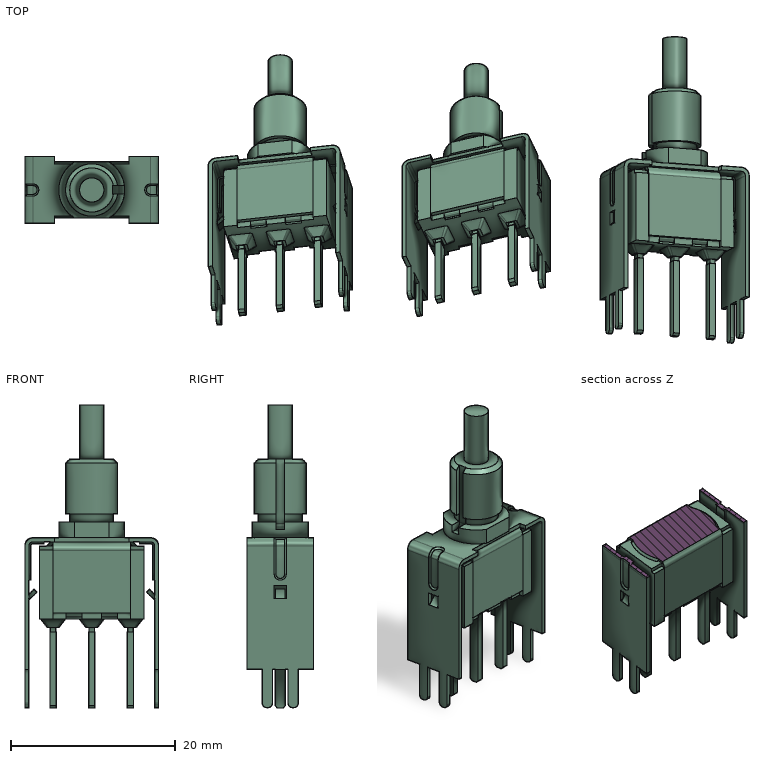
import cadquery as cq
import math


overall_length = 16.26
bracket_width = 8.13
overall_height = 36.83

plunger_diameter = 2.95
plunger_top = 16.13
pin_bottom = plunger_top - overall_height

sheet = 0.51
bend_radius = 1.0
plate_bottom = -16.0
notch_length = 9.0
notch_floor_y = 3.15
leg_width = 1.27
leg_spacing = 3.14
leg_bottom = -20.65
leg_end_radius = 0.57

bead_depth = 0.24
bead_width = 1.48
bead_bottom = -5.15
groove_inner_x = 6.43
rib_inner_x = 5.77
groove_wall_run = 0.2

window_top = -5.8
window_bottom = -7.38
window_width = 1.48
tongue_width = 1.2
tongue_length = 1.38

nut_height = 1.9
nut_radius = 4.0
nut_across_flats = 6.82
neck_radius = 2.69
bushing_radius = 3.175
bushing_bottom = 2.9
bushing_top = 9.54
bushing_chamfer = 0.5
keyway_floor_x = 2.52
keyway_width = 1.03
keyway_floor_z = 0.98
keyway_runout_radius = 0.76

housing_length = 12.7
housing_half_width = 3.43
housing_bottom = -9.9
end_top = -1.02
end_ledge = -1.5
core_half_width = 2.95
panel_length = 9.4
end_half_width = 3.45
panel_top = -sheet
panel_bottom = -9.15
panel_bend_radius = 1.06
cone_bottom_radius = 5.5
cone_top_radius = 5.0
pocket_inner_x = 1.18
pocket_outer_x = 3.12
pocket_round = 0.45
pocket_height = 0.7

pin_pitch = 4.69
pin_thickness = 0.78
pin_width = 1.27
pin_tip_chamfer = 0.3
collar_thickness = 0.7
collar_width = 1.15
collar_bottom = -11.44
mound_bottom = -10.92
mound_base = 3.0
mound_tip = 1.4
mound_base_radius = 0.3
mound_tip_radius = 0.2


def block(x_range, y_range, z_range):
    """Axis-aligned block from its limits along each axis."""
    size = [high - low for low, high in (x_range, y_range, z_range)]
    corner = (x_range[0], y_range[0], z_range[0])
    return cq.Workplane("XY").box(*size, centered=False).translate(corner)


def cylinder(radius, bottom, top):
    return cq.Workplane("XY", origin=(0, 0, bottom)).circle(radius).extrude(top - bottom)


def arch(inset, width):
    """Solid with the bracket's outer shape, moved inward by inset."""
    height = -plate_bottom - inset
    return (
        cq.Workplane("XY", origin=(0, 0, plate_bottom))
        .box(overall_length - 2 * inset, width, height, centered=(True, True, False))
        .edges("|Y and >Z")
        .fillet(bend_radius - inset)
    )


def bent_sheet(outer_inset, inner_inset, width):
    inner = arch(inner_inset, width)
    return arch(outer_inset, width).cut(inner)


def bead_strip(outer_inset, inner_inset, inner_x):
    """Round-ended strip that follows the bend on the +X side."""
    end_radius = bead_width / 2
    strip = bent_sheet(outer_inset, inner_inset, bead_width)
    plan = (
        cq.Workplane("XY", origin=(0, 0, plate_bottom))
        .moveTo(overall_length, -end_radius)
        .lineTo(inner_x + end_radius, -end_radius)
        .threePointArc((inner_x, 0), (inner_x + end_radius, end_radius))
        .lineTo(overall_length, end_radius)
        .close()
        .extrude(-plate_bottom)
    )
    side = (
        cq.Workplane("YZ")
        .moveTo(-end_radius, 0)
        .lineTo(-end_radius, bead_bottom + end_radius)
        .threePointArc((0, bead_bottom), (end_radius, bead_bottom + end_radius))
        .lineTo(end_radius, 0)
        .close()
        .extrude(overall_length)
    )
    return strip.intersect(plan).intersect(side)


def make_groove():
    """Cutter for the outer side of a bead, with sloping walls."""
    groove = bead_strip(0, bead_depth, groove_inner_x)
    floor_side = (overall_length / 2 - bead_depth, bead_width / 2, bead_bottom / 2)
    return groove.edges(cq.selectors.NearestToPointSelector(floor_side)).chamfer(groove_wall_run)


def make_tongue():
    """Sheet tongue bent inward at 45 degrees from the lower edge of the window."""
    outer_x = overall_length / 2
    reach = tongue_length * math.sqrt(0.5)
    skew = sheet * math.sqrt(0.5)
    inner_x = outer_x - sheet
    tip_x = inner_x - reach
    tip_z = window_bottom + sheet + reach - 2 * skew
    return (
        cq.Workplane("XZ", origin=(0, tongue_width / 2, 0))
        .moveTo(outer_x, window_bottom)
        .lineTo(tip_x + skew, tip_z + skew)
        .lineTo(tip_x, tip_z)
        .lineTo(inner_x, window_bottom - skew / 2)
        .lineTo(inner_x, window_bottom)
        .close()
        .extrude(tongue_width)
    )


def make_leg(y):
    outer_x = overall_length / 2
    leg = block(
        (outer_x - sheet, outer_x),
        (y - leg_width / 2, y + leg_width / 2),
        (leg_bottom, plate_bottom),
    )
    return leg.edges("|X and <Z").fillet(leg_end_radius)


def both_ends(shape):
    """The +X shape together with its mirror image at -X."""
    return shape, shape.mirror("YZ")


def make_bracket():
    bracket = bent_sheet(0, sheet, bracket_width)

    half_notch = notch_length / 2
    half_width = bracket_width / 2
    for y_range in ((-half_width, -notch_floor_y), (notch_floor_y, half_width)):
        bracket = bracket.cut(block((-half_notch, half_notch), y_range, (-sheet, 0)))
    bracket = bracket.cut(cylinder(neck_radius, -sheet, 0))

    outer_x = overall_length / 2
    window = block(
        (outer_x - sheet, outer_x),
        (-window_width / 2, window_width / 2),
        (window_bottom, window_top),
    )
    rib = bead_strip(sheet, sheet + bead_depth, rib_inner_x)
    for addition in (rib, make_leg(-leg_spacing / 2), make_leg(leg_spacing / 2)):
        for shape in both_ends(addition):
            bracket = bracket.union(shape)
    for cutter in (window, make_groove()):
        for shape in both_ends(cutter):
            bracket = bracket.cut(shape)
    for shape in both_ends(make_tongue()):
        bracket = bracket.union(shape)
    return bracket


def make_bushing():
    nut_flats = block(
        (-nut_radius, nut_radius),
        (-nut_across_flats / 2, nut_across_flats / 2),
        (0, nut_height),
    )
    shank = cylinder(neck_radius, -sheet, 0)
    nut = cylinder(nut_radius, 0, nut_height).intersect(nut_flats)
    neck = cylinder(neck_radius, nut_height, bushing_bottom)
    barrel = cylinder(bushing_radius, bushing_bottom, bushing_top)
    barrel = barrel.faces(">Z").chamfer(bushing_chamfer)
    keyway = block(
        (keyway_floor_x, nut_radius),
        (-keyway_width / 2, keyway_width / 2),
        (keyway_floor_z, bushing_top),
    )
    keyway = keyway.edges("|Y and <X and <Z").fillet(keyway_runout_radius)
    return shank.union(nut).union(neck).union(barrel).cut(keyway)


def make_pocket(x_range):
    """Cutter for a notch in the lower -Y edge of the core, with a rounded lip above it."""
    inner_y = -core_half_width + pocket_round
    pocket_top = housing_bottom + pocket_height
    notch = block(x_range, (-core_half_width, inner_y), (housing_bottom, pocket_top))
    lip = (
        cq.Workplane("YZ", origin=(x_range[0], inner_y, pocket_top))
        .circle(pocket_round)
        .extrude(x_range[1] - x_range[0])
    )
    return notch.cut(lip)


def make_housing():
    half_length = housing_length / 2
    half_panel = panel_length / 2
    core = block(
        (-half_length, half_length),
        (-core_half_width, core_half_width),
        (housing_bottom, end_top),
    )
    for x_range in ((-pocket_outer_x, -pocket_inner_x), (pocket_inner_x, pocket_outer_x)):
        pocket = make_pocket(x_range)
        core = core.cut(pocket).cut(pocket.mirror("XZ"))

    panel = block(
        (-half_panel, half_panel),
        (-housing_half_width, housing_half_width),
        (panel_bottom, panel_top),
    )
    panel = panel.edges("|X and >Z").fillet(panel_bend_radius)
    housing = core.union(panel)

    for x_range in ((-half_length, -half_panel), (half_panel, half_length)):
        end = block(x_range, (-end_half_width, end_half_width), (housing_bottom, end_ledge))
        housing = housing.union(end)

    cone = cq.Workplane("XY").add(
        cq.Solid.makeCone(
            cone_bottom_radius, cone_top_radius, panel_top - end_top,
            pnt=cq.Vector(0, 0, end_top), dir=cq.Vector(0, 0, 1),
        )
    )
    flat_half_width = housing_half_width - panel_bend_radius
    cone_limits = block(
        (-half_length, half_length), (-flat_half_width, flat_half_width), (end_top, panel_top)
    )
    return housing.union(cone.intersect(cone_limits))


def make_terminal(x):
    """Terminal pin with a narrow collar and the sealing mound around it."""
    pin = block(
        (x - pin_thickness / 2, x + pin_thickness / 2),
        (-pin_width / 2, pin_width / 2),
        (pin_bottom, collar_bottom),
    )
    pin = pin.edges("|X and <Z").chamfer(pin_tip_chamfer)
    collar = block(
        (x - collar_thickness / 2, x + collar_thickness / 2),
        (-collar_width / 2, collar_width / 2),
        (collar_bottom, mound_bottom),
    )
    mound = (
        cq.Workplane("XY", origin=(x, 0, mound_bottom))
        .placeSketch(
            cq.Sketch().rect(mound_tip, mound_tip).vertices().fillet(mound_tip_radius),
            cq.Sketch().rect(mound_base, mound_base).vertices().fillet(mound_base_radius)
            .moved(cq.Location(cq.Vector(0, 0, housing_bottom - mound_bottom))),
        )
        .loft()
    )
    return pin.union(collar).union(mound)


def make_switch():
    switch = make_housing().union(make_bushing())
    switch = switch.union(cylinder(plunger_diameter / 2, bushing_top, plunger_top))
    for x in (-pin_pitch, 0, pin_pitch):
        switch = switch.union(make_terminal(x))
    return switch


bracket = make_bracket()
switch = make_switch()
result = cq.Compound.makeCompound([bracket.solids().val(), switch.solids().val()])